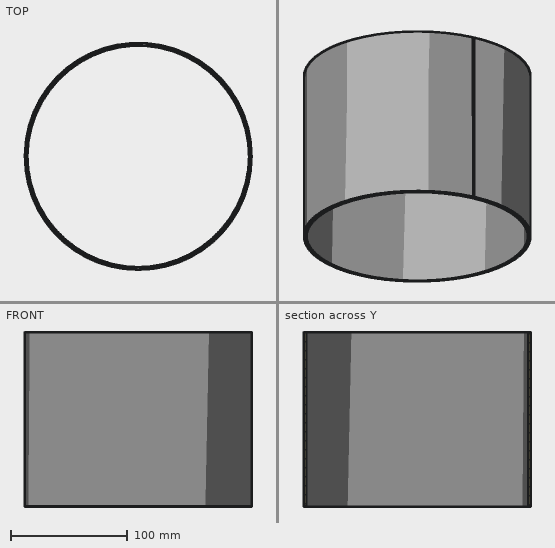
import cadquery as cq

outer_diameter = 195.0
wall = 2.5
height = 150.0
outer_chamfer = 0.5
inner_chamfer = 0.2
slit_width = 1.7

outer_radius = outer_diameter / 2
inner_radius = outer_radius - wall


def bevel_end_rims(cylinder, size):
    """Bevel both end rims of a solid cylinder."""
    return cylinder.faces("<Z or >Z").edges().chamfer(size)


def sleeve():
    """Tube with its outer and bore rims bevelled."""
    outer_body = cq.Workplane("XY").circle(outer_radius).extrude(height)
    outer_body = bevel_end_rims(outer_body, outer_chamfer)
    tube = outer_body.faces(">Z").workplane().circle(inner_radius).cutThruAll()
    bore_rims = cq.selectors.RadiusNthSelector(0)
    return tube.edges("%CIRCLE").edges(bore_rims).chamfer(inner_chamfer)


def slit():
    """Block that parts the wall over its full height on the -X side."""
    block = cq.Workplane("XY").box(outer_radius, slit_width, height, centered=False)
    return block.translate((-outer_radius, 0, 0))


result = sleeve().cut(slit())